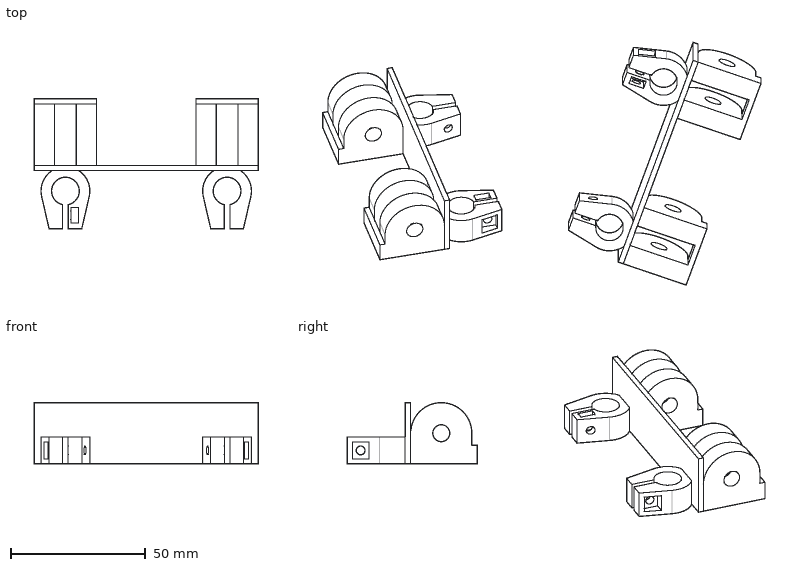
import cadquery as cq
import math

station_spacing = 60.0
station_centres = (-station_spacing / 2, station_spacing / 2)

lug_width = 7.6
lug_gap = 8.0
bracket_width = 2 * lug_width + lug_gap
lug_depth = 22.77
lug_radius = lug_depth / 2
lug_hole_diameter = 6.2
strip_thickness = 2.0
strip_height = 7.0

plate_length = station_spacing + bracket_width
plate_thickness = 2.0
plate_height = 2 * lug_radius

clamp_height = 10.0
bore_diameter = 10.2
ring_wall = 4.0
ring_radius = bore_diameter / 2 + ring_wall
bore_offset = 7.55
leg_reach = 14.0
split_width = 2.0
leg_end_width = 5.1
screw_hole_diameter = 3.2
screw_inset = 5.0
head_pocket_size = 6.2
head_pocket_floor = 4.4
nut_slot_thickness = 2.8
nut_slot_width = 5.7
nut_slot_wall = 1.0

bore_y = -bore_offset
leg_end_y = bore_y - leg_reach
screw_y = leg_end_y + screw_inset
screw_z = clamp_height / 2


def make_plate():
    return cq.Workplane("XY").box(
        plate_length, plate_thickness, plate_height, centered=(True, False, False)
    )


def make_bracket(centre_x):
    """Pair of drilled lugs joined by the back strip, standing against the back of the plate."""
    front_y = plate_thickness
    axis_y = front_y + lug_radius
    back_y = front_y + lug_depth
    lugs = (
        cq.Workplane("YZ", origin=(-bracket_width / 2, 0, 0))
        .moveTo(front_y, 0)
        .lineTo(front_y, lug_radius)
        .threePointArc((axis_y, 2 * lug_radius), (back_y, lug_radius))
        .lineTo(back_y, 0)
        .close()
        .extrude(bracket_width)
    )
    gap = cq.Workplane("XY").box(
        lug_gap, lug_depth, plate_height, centered=(True, False, False)
    ).translate((0, front_y, 0))
    strip = cq.Workplane("XY").box(
        bracket_width, strip_thickness, strip_height, centered=(True, False, False)
    ).translate((0, back_y, 0))
    pin_hole = (
        cq.Workplane("YZ", origin=(-bracket_width / 2, axis_y, lug_radius))
        .circle(lug_hole_diameter / 2)
        .extrude(bracket_width)
    )
    bracket = lugs.cut(gap).union(strip).cut(pin_hole)
    return bracket.translate((centre_x, 0, 0))


def make_clamp_blank():
    """Ring tapering tangentially into the leg ends, with its back cut flat at the plate."""
    end_half_width = split_width / 2 + leg_end_width
    corner_distance = math.hypot(end_half_width, leg_reach)
    tangent_angle = math.acos(ring_radius / corner_distance) - math.atan2(leg_reach, end_half_width)
    tangent_x = ring_radius * math.cos(tangent_angle)
    tangent_y = bore_y + ring_radius * math.sin(tangent_angle)
    flat_half_width = math.sqrt(ring_radius**2 - bore_offset**2)
    return (
        cq.Workplane("XY")
        .moveTo(-end_half_width, leg_end_y)
        .lineTo(end_half_width, leg_end_y)
        .lineTo(tangent_x, tangent_y)
        .threePointArc((ring_radius, bore_y), (flat_half_width, 0))
        .lineTo(-flat_half_width, 0)
        .threePointArc((-ring_radius, bore_y), (-tangent_x, tangent_y))
        .close()
        .extrude(clamp_height)
    )


def make_clamp(centre_x, turn):
    """Clamp with head pocket on its left leg and nut slot in its right leg, turned about Y."""
    bore = cq.Workplane("XY").center(0, bore_y).circle(bore_diameter / 2).extrude(clamp_height)
    split = cq.Workplane("XY").box(
        split_width, leg_reach, clamp_height, centered=(True, False, False)
    ).translate((0, leg_end_y, 0))
    screw_hole = (
        cq.Workplane("YZ", origin=(-ring_radius, screw_y, screw_z))
        .circle(screw_hole_diameter / 2)
        .extrude(2 * ring_radius)
    )
    head_pocket = (
        cq.Workplane("YZ", origin=(-head_pocket_floor, screw_y, screw_z))
        .rect(head_pocket_size, head_pocket_size)
        .extrude(head_pocket_floor - ring_radius)
    )
    nut_slot = cq.Workplane("XY").box(
        nut_slot_thickness, nut_slot_width, clamp_height, centered=(False, True, False)
    ).translate((split_width / 2 + nut_slot_wall, screw_y, screw_z - nut_slot_width / 2))
    clamp = make_clamp_blank().cut(bore).cut(split).cut(screw_hole).cut(head_pocket).cut(nut_slot)
    clamp = clamp.rotate((0, 0, screw_z), (0, 1, screw_z), turn)
    return clamp.translate((centre_x, 0, 0))


plate = make_plate()
brackets = [make_bracket(centre_x) for centre_x in station_centres]

clamps = [make_clamp(centre_x, turn) for centre_x, turn in zip(station_centres, (0, 180))]

bodies = [plate] + brackets + clamps
result = cq.Compound.makeCompound([body.solids().val() for body in bodies])